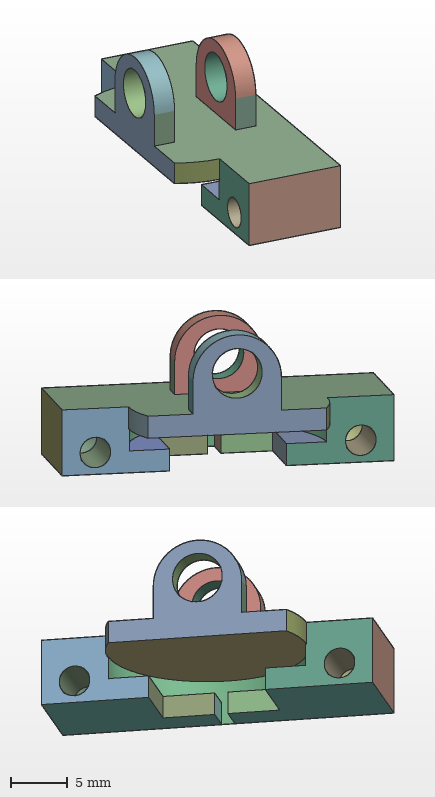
import cadquery as cq

length = 30.0
block_depth = 9.0
block_height = 6.0
layer = block_height / 3
overlap = 0.3

shelf_reach = 2 * layer
shelf_radius = 9.0

lug_radius = 2 * layer
lug_arc_height = block_height + 3.0
lug_hole_diameter = 4.5
lug_hole_height = 9.5
lug_spacing = 4 * layer
front_lug_back = layer - shelf_reach
lug_backs = (front_lug_back, front_lug_back + lug_spacing)

pocket_clearance = 0.1
pocket_radius = shelf_radius - pocket_clearance
notch_width = 10.55
notch_depth = 6.0
slot_width = 1.2

pin_hole_diameter = 2.75
pin_hole_x = 12.0
pin_hole_height = layer
pin_hole_depth = 6.0
pin_cone_depth = pin_hole_diameter / 4


def box(width, y_front, y_back, z_bottom, z_top):
    """Box centred on X = 0 between the given Y and Z limits."""
    return cq.Workplane("XY").box(
        width, y_back - y_front, z_top - z_bottom, centered=(True, False, False)
    ).translate((0, y_front, z_bottom))


def disc(radius, z_bottom):
    """Disc one layer thick, centred on the middle of the front face."""
    return cq.Workplane("XY", origin=(0, 0, z_bottom)).circle(radius).extrude(layer)


def shelf():
    """Segment of a disc in front of the block, cut off straight at its tip."""
    limits = box(length, -shelf_reach, overlap, 0, block_height)
    return disc(shelf_radius, block_height - layer).intersect(limits)


def lug(y_back):
    """Upright lug with a rounded top, one layer thick."""
    return (
        cq.Workplane("XZ", origin=(0, y_back, 0))
        .moveTo(-lug_radius, block_height - layer)
        .lineTo(-lug_radius, lug_arc_height)
        .threePointArc((0, lug_arc_height + lug_radius), (lug_radius, lug_arc_height))
        .lineTo(lug_radius, block_height - layer)
        .close()
        .extrude(layer)
    )


def lug_bore():
    """Bore running through both lugs."""
    return (
        cq.Workplane("XZ", origin=(0, block_depth, lug_hole_height))
        .circle(lug_hole_diameter / 2)
        .extrude(block_depth + shelf_reach + overlap)
    )


def recess():
    """Round pocket, with a notch and a narrow slot opening it downwards."""
    pocket = disc(pocket_radius, layer)
    slot = disc(pocket_radius, 0).intersect(
        box(slot_width, -overlap, block_depth, 0, layer)
    )
    notch = box(notch_width, -overlap, notch_depth, -overlap, layer)
    return pocket.union(slot).union(notch)


def pin_hole(x):
    """Cutter for a blind hole ending in a cone."""
    radius = pin_hole_diameter / 2
    return (
        cq.Workplane("XY")
        .polyline([
            (0, 0),
            (radius, 0),
            (radius, pin_hole_depth),
            (0, pin_hole_depth + pin_cone_depth),
        ])
        .close()
        .revolve(360, (0, 0, 0), (0, 1, 0))
        .translate((x, 0, pin_hole_height))
    )


result = box(length, 0, block_depth, 0, block_height).cut(recess())
for x in (-pin_hole_x, pin_hole_x):
    result = result.cut(pin_hole(x))

result = result.union(shelf())
for y_back in lug_backs:
    result = result.union(lug(y_back))
result = result.cut(lug_bore())